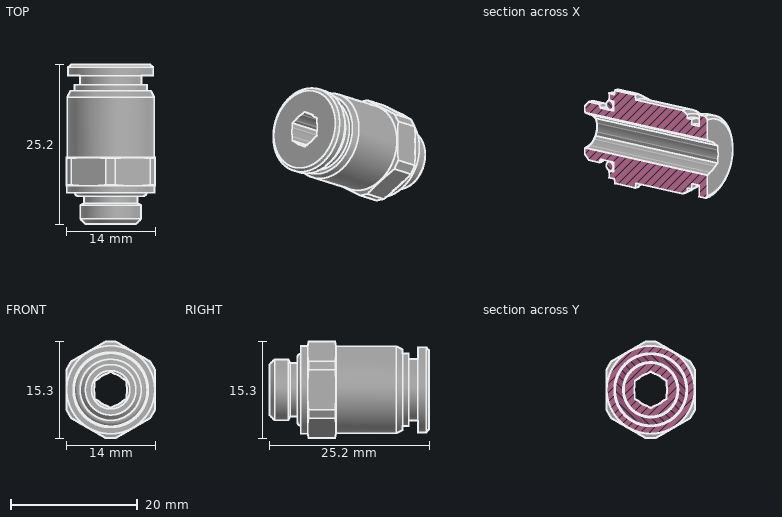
import cadquery as cq
import math


length = 25.2
thread_radius = 4.82
thread_end_chamfer = 0.83
thread_start = 3.0
neck_radius = 4.25
neck_start = thread_start + (thread_radius - neck_radius) / 2

ring_outer_radius = 5.75
ring_section_radius = (ring_outer_radius - neck_radius) / 2
ring_centre_radius = ring_outer_radius - ring_section_radius
ring_front = 4.38
ring_centre_y = ring_front + ring_section_radius
recess_radius = ring_outer_radius
recess_mouth_chamfer = 0.2
recess_floor = ring_front + 2 * ring_section_radius

flange_radius = 6.95
flange_front = 4.95
hex_front = 6.03
hex_rear = 10.53
hex_across_flats = 14.0
hex_across_corners = 15.29
hex_chamfer_depth = 0.16

barrel_radius = 6.88
barrel_rear = 21.05
bevel_length = 1.0
bevel_inset = 0.52

lip_radius = 5.75
lip_rear = 22.02
collet_neck_radius = 4.88
button_front = 23.42
button_radius = 6.75
button_chamfer_length = 0.45
button_chamfer_inset = 0.52

socket_across_flats = 4.95
drill_radius = 2.58
lead_in_radius = 3.02
lead_in_depth = lead_in_radius - drill_radius


def turned(profile):
    """Revolve (radius, y) points around the Y axis."""
    return cq.Workplane("XY").polyline(profile).close().revolve(360, (0, 0), (0, 1))


def hexagon(across_flats, start, end):
    """Hexagonal bar along Y with two flats facing +X and -X."""
    corner_diameter = across_flats / math.cos(math.pi / 6)
    return (
        cq.Workplane("XZ", origin=(0, start, 0))
        .transformed(rotate=(0, 0, 90))
        .polygon(6, corner_diameter)
        .extrude(start - end)
    )


def make_turned_body():
    return turned([
        (0, 0),
        (thread_radius - thread_end_chamfer, 0),
        (thread_radius, thread_end_chamfer),
        (thread_radius, thread_start),
        (neck_radius, neck_start),
        (neck_radius, recess_floor),
        (recess_radius, recess_floor),
        (recess_radius, flange_front + recess_mouth_chamfer),
        (recess_radius + recess_mouth_chamfer, flange_front),
        (flange_radius, flange_front),
        (flange_radius, hex_front),
        (barrel_radius, hex_front),
        (barrel_radius, barrel_rear - bevel_length),
        (barrel_radius - bevel_inset, barrel_rear),
        (lip_radius, barrel_rear),
        (lip_radius, lip_rear),
        (collet_neck_radius, lip_rear),
        (collet_neck_radius, button_front),
        (button_radius, button_front),
        (button_radius, length - button_chamfer_length),
        (button_radius - button_chamfer_inset, length),
        (0, length),
    ])


def make_wrench_hexagon():
    """Hexagon with flat-cut corners and a shallow cone on each end."""
    blunt_corners = hexagon(hex_across_corners, hex_front, hex_rear).rotate((0, 0, 0), (0, 1, 0), 30)
    corner_radius = hex_across_corners / 2
    outer_radius = hex_across_flats / math.cos(math.pi / 6) / 2
    chamfer_slope = hex_chamfer_depth / (corner_radius - flange_radius)
    edge_depth = chamfer_slope * (outer_radius - flange_radius)
    end_cones = turned([
        (0, hex_front),
        (flange_radius, hex_front),
        (outer_radius, hex_front + edge_depth),
        (outer_radius, hex_rear - edge_depth),
        (flange_radius, hex_rear),
        (0, hex_rear),
    ])
    return hexagon(hex_across_flats, hex_front, hex_rear).intersect(blunt_corners).intersect(end_cones)


def make_bore():
    socket = hexagon(socket_across_flats, 0, length)
    drill = turned([
        (0, 0),
        (lead_in_radius, 0),
        (drill_radius, lead_in_depth),
        (drill_radius, length),
        (0, length),
    ])
    return socket.union(drill)


def make_housing():
    return make_turned_body().union(make_wrench_hexagon()).cut(make_bore()).solids()


def make_seal_ring():
    return (
        cq.Workplane("XY")
        .center(ring_centre_radius, ring_centre_y)
        .circle(ring_section_radius)
        .revolve(360, (-ring_centre_radius, 0), (-ring_centre_radius, 1))
    )


housing = make_housing()
seal_ring = make_seal_ring()

result = cq.Compound.makeCompound([housing.val(), seal_ring.val()])